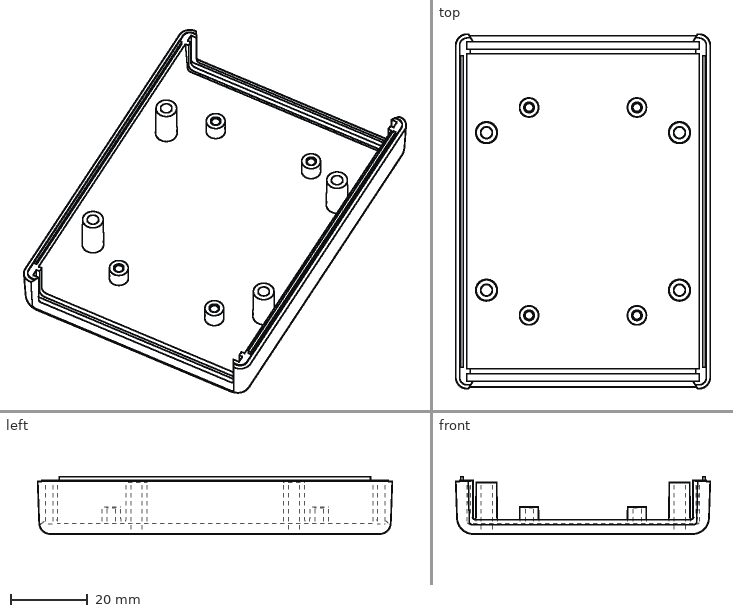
import cadquery as cq
import math

length = 92.2
width = 66.2
wall_top = 14.0
draft_angle = 2.0
side_radius = 4.3
end_radius = 3.0

ledge_top = 13.7
ledge_width = 1.0
tongue_top = 14.9
tongue_length = 80.9
tongue_width = 0.7
tongue_center_x = 31.4

floor_top = 2.9
inner_half_width = 30.2
inner_draft = 3.5
inner_radius = 1.1
rib_radius = 1.7
groove_radius = 0.7
frame_height = 0.9
rib_half_width = inner_half_width - frame_height
frame_sill = floor_top + frame_height
lip_half_width = 28.6
lip_sill = 3.7
groove_floor = 2.7
lip_radius = 0.7
rib_inner_y = 40.9
rib_outer_y = 42.1
groove_outer_y = 44.1
end_flare_side = 1.2
end_flare_down = 1.6

post_draft = 0.7
screw_x = 25.1
screw_y = 20.5
screw_post_top = 13.5
screw_post_diameter = 5.6
screw_hole_diameter = 2.95
board_x = 14.0
board_y = 27.0
board_post_top = 7.1
board_post_diameter = 5.0
board_hole_diameter = 2.1
board_hole_chamfer = 0.3


def outer_body():
    """Block leaning out towards the top: bottom side edges rounded first, then both ends all round."""
    block = (
        cq.Workplane("XY", origin=(0, 0, ledge_top))
        .rect(width, length)
        .extrude(-ledge_top, taper=draft_angle)
    )
    block = block.faces("<Z").edges("|Y").fillet(side_radius)
    block = block.faces("<Y or >Y").edges("not >Z").fillet(end_radius)
    inset = 2 * ledge_width
    step = (
        cq.Workplane("XY", origin=(0, 0, ledge_top))
        .rect(width - inset, length - inset)
        .extrude(wall_top - ledge_top)
        .edges("|Z")
        .fillet(end_radius - ledge_width)
    )
    return block.union(step)


def u_wire(plane, half_width, bottom, radius):
    """Closed U outline in an XZ plane, open-topped above the walls, with rounded lower corners."""
    corner = radius * (1 - math.sqrt(0.5))
    return (
        plane.moveTo(-half_width, tongue_top)
        .lineTo(-half_width, bottom + radius)
        .threePointArc((corner - half_width, bottom + corner), (radius - half_width, bottom))
        .lineTo(half_width - radius, bottom)
        .threePointArc((half_width - corner, bottom + corner), (half_width, bottom + radius))
        .lineTo(half_width, tongue_top)
        .close()
    )


def u_cut(half_width, bottom, radius, y_limit):
    """Channel of U section running from -y_limit to +y_limit."""
    plane = cq.Workplane("XZ")
    return u_wire(plane, half_width, bottom, radius).extrude(y_limit, both=True)


def cavity_cut():
    """Main cavity: side walls thicken towards the floor and meet it in a fillet."""
    foot_half_width = inner_half_width - (wall_top - floor_top) * math.tan(math.radians(inner_draft))
    block = (
        cq.Workplane("XZ")
        .polyline(
            [
                (-foot_half_width, floor_top),
                (foot_half_width, floor_top),
                (inner_half_width, wall_top),
                (-inner_half_width, wall_top),
            ]
        )
        .close()
        .extrude(rib_inner_y, both=True)
    )
    return block.faces("<Z").edges("|Y").fillet(inner_radius)


def groove_cut(side):
    """Panel groove at one end; side is +1 or -1."""
    plane = cq.Workplane("XZ", origin=(0, side * rib_outer_y, 0))
    profile = u_wire(plane, inner_half_width, groove_floor, groove_radius)
    return profile.extrude(-side * (groove_outer_y - rib_outer_y))


def flared_end_cut(side):
    """End opening that widens from the groove to the outside; side is +1 or -1."""
    depth = length / 2 - groove_outer_y
    plane = cq.Workplane("XZ", origin=(0, side * groove_outer_y, 0))
    narrow = u_wire(plane, lip_half_width, lip_sill, lip_radius)
    wide_plane = narrow.workplane(offset=-side * depth)
    wide = u_wire(
        wide_plane, lip_half_width + end_flare_side, lip_sill - end_flare_down, lip_radius
    )
    return wide.loft(ruled=True)


def tongues():
    """Thin ridges on top of both side walls."""
    return (
        cq.Workplane("XY", origin=(0, 0, ledge_top))
        .pushPoints([(-tongue_center_x, 0), (tongue_center_x, 0)])
        .rect(tongue_width, tongue_length)
        .extrude(tongue_top - ledge_top)
    )


def four_discs(x, y, z, diameter):
    """Four equal circles at the corners of a centred rectangle, at height z."""
    return (
        cq.Workplane("XY", origin=(0, 0, z))
        .rect(2 * x, 2 * y, forConstruction=True)
        .vertices()
        .circle(diameter / 2)
    )


def posts(x, y, top, diameter):
    """Four slightly tapered posts standing on the floor."""
    return four_discs(x, y, floor_top, diameter).extrude(top - floor_top, taper=post_draft)


def holes(x, y, bottom, top, diameter):
    """Four straight holes in the posts."""
    return four_discs(x, y, bottom, diameter).extrude(top - bottom)


def board_hole_chamfers():
    """Conical lead-ins at the mouths of the board post holes."""
    mouth_diameter = board_hole_diameter + 2 * board_hole_chamfer
    mouths = four_discs(board_x, board_y, board_post_top, mouth_diameter)
    return mouths.extrude(-board_hole_chamfer, taper=45)


result = outer_body().cut(cavity_cut())
result = result.cut(u_cut(rib_half_width, frame_sill, rib_radius, rib_outer_y))
for end in (-1, 1):
    result = result.cut(groove_cut(end))
    result = result.cut(flared_end_cut(end))

result = result.union(tongues())
result = result.union(posts(screw_x, screw_y, screw_post_top, screw_post_diameter))
result = result.union(posts(board_x, board_y, board_post_top, board_post_diameter))
result = result.cut(holes(screw_x, screw_y, 0, screw_post_top, screw_hole_diameter))
result = result.cut(holes(board_x, board_y, floor_top, board_post_top, board_hole_diameter))
result = result.cut(board_hole_chamfers())